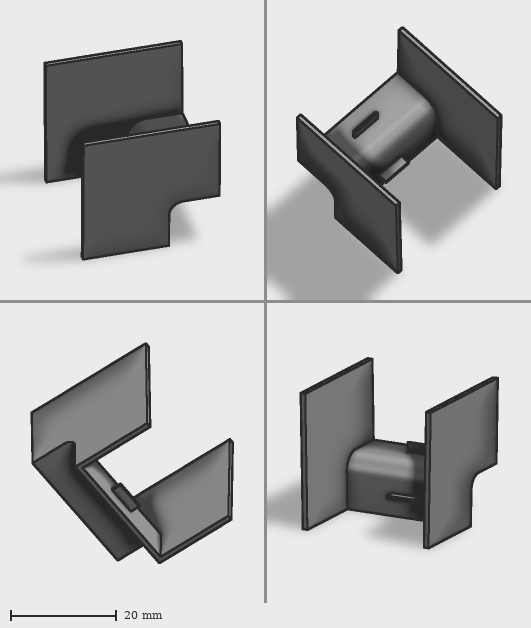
import cadquery as cq
import math

WIDTH = 27.93
SIDE = 26.7

CHEEK_THICKNESS = 1.0
CHEEK_LEAN_DEGREES = 1.0

NOTCH = 9.85
WEB_THICKNESS = CHEEK_THICKNESS
NOTCH_RADIUS = 2.65
BEND_RADIUS = NOTCH_RADIUS + WEB_THICKNESS

TAB_WIDTH = 6.0
TAB_HEIGHT = 2.0
TAB_THICKNESS = 0.5
TAB_RIDGE = 0.08
TAB_OFFSET = 4.0

web_outer = NOTCH + WEB_THICKNESS
lean_shift = SIDE * math.tan(math.radians(CHEEK_LEAN_DEGREES))
top_outer_x = WIDTH / 2
bottom_outer_x = top_outer_x - lean_shift


def corner_block(length, radius):
    """Block in the lower back corner, its upper front edge rounded; Y runs to 0 at the back."""
    return (
        cq.Workplane("XY")
        .box(WIDTH, length, length, centered=(True, False, False))
        .translate((0, -length, 0))
        .edges("|X and >Z and <Y")
        .fillet(radius)
    )


def leaning_prism(inset):
    """Prism filling the space between two leaning planes, inset in X from the outer cheek faces."""
    return (
        cq.Workplane("XZ")
        .polyline([
            (-bottom_outer_x + inset, 0),
            (bottom_outer_x - inset, 0),
            (top_outer_x - inset, SIDE),
            (-top_outer_x + inset, SIDE),
        ])
        .close()
        .extrude(SIDE)
    )


def tab_profile(base, reach):
    """Tab outline with a gabled tip, as (distance along the web, distance out from the corner) points."""
    shoulder = reach - TAB_RIDGE
    return [
        (TAB_OFFSET, base),
        (TAB_OFFSET, shoulder),
        (TAB_OFFSET + TAB_THICKNESS / 2, reach),
        (TAB_OFFSET + TAB_THICKNESS, shoulder),
        (TAB_OFFSET + TAB_THICKNESS, base),
    ]


def tabs():
    """One tab standing on top of the web and its mirror twin on the front."""
    profile = tab_profile(web_outer - WEB_THICKNESS / 2, web_outer + TAB_HEIGHT)
    top_points = [(-along, outward) for along, outward in profile]
    front_points = [(-outward, along) for along, outward in profile]
    sketch_plane = cq.Workplane("YZ")
    top_tab = sketch_plane.polyline(top_points).close().extrude(TAB_WIDTH / 2, both=True)
    front_tab = sketch_plane.polyline(front_points).close().extrude(TAB_WIDTH / 2, both=True)
    return top_tab.union(front_tab)


envelope = leaning_prism(0)
cavity = leaning_prism(CHEEK_THICKNESS).cut(corner_block(web_outer, BEND_RADIUS))
notch = corner_block(NOTCH, NOTCH_RADIUS)

result = envelope.cut(cavity).cut(notch).union(tabs())